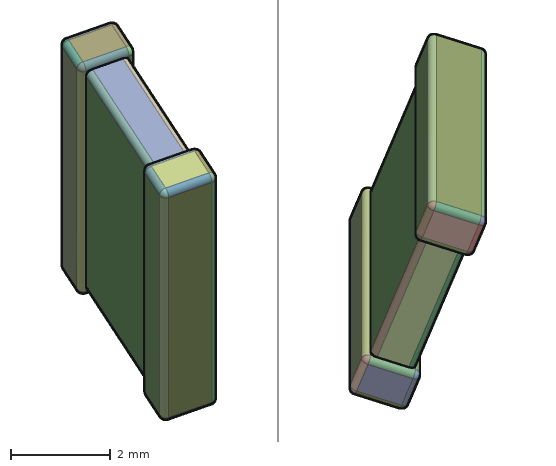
import cadquery as cq

LENGTH = 4.8
THICKNESS = 1.25
HEIGHT = 6.8

TERMINAL_WIDTH = 0.95
EDGE_RADIUS = 0.14

TERMINAL_WALL = 0.14

body_thickness = THICKNESS - 2 * TERMINAL_WALL
body_height = HEIGHT - 2 * TERMINAL_WALL
body_length = LENGTH - 2 * TERMINAL_WIDTH


def make_body():
    """Ceramic block between the terminals, its long edges rounded."""
    block = cq.Workplane("XY").box(body_length, body_thickness, body_height)
    return block.edges("|X").fillet(EDGE_RADIUS)


def make_terminal(side):
    """Metal end block with every edge rounded; side is -1 or +1 along X."""
    center_x = side * (LENGTH - TERMINAL_WIDTH) / 2
    block = cq.Workplane("XY").box(TERMINAL_WIDTH, THICKNESS, HEIGHT)
    return block.edges().fillet(EDGE_RADIUS).translate((center_x, 0, 0))


body = make_body()
terminals = [make_terminal(side) for side in (-1, 1)]

result = cq.Compound.makeCompound([body.val(), *[terminal.val() for terminal in terminals]])